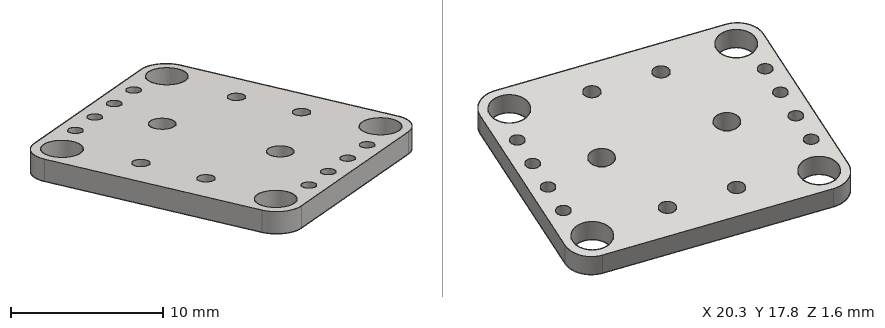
import cadquery as cq

length = 20.32
width = 17.78
thickness = 1.6
corner_radius = 1.89

corner_hole_diameter = 2.8
corner_hole_inset = 2.03

row_hole_diameter = 1.02
row_hole_pitch = 2.55
row_hole_count = 4
row_spacing = 17.75

inner_hole_diameter = 1.2
inner_spacing_x = 4.95
inner_spacing_y = 12.5

middle_hole_diameter = 1.8
middle_spacing = 8.98


def drill_corners(body, spacing_x, spacing_y, diameter):
    """Drill through holes at the corners of a centred rectangle."""
    corners = body.faces(">Z").workplane(origin=(0, 0, 0)).rect(spacing_x, spacing_y, forConstruction=True)
    return corners.vertices().hole(diameter)


def drill_grid(body, pitch_x, pitch_y, count_y, diameter):
    """Drill two columns of through holes, centred on the plate."""
    return body.faces(">Z").workplane(origin=(0, 0, 0)).rarray(pitch_x, pitch_y, 2, count_y).hole(diameter)


plate = cq.Workplane("XY").box(length, width, thickness).edges("|Z").fillet(corner_radius)

plate = drill_corners(
    plate,
    length - 2 * corner_hole_inset,
    width - 2 * corner_hole_inset,
    corner_hole_diameter,
)
plate = drill_corners(plate, inner_spacing_x, inner_spacing_y, inner_hole_diameter)
plate = drill_grid(plate, row_spacing, row_hole_pitch, row_hole_count, row_hole_diameter)

plate = drill_grid(plate, middle_spacing, width, 1, middle_hole_diameter)

result = plate